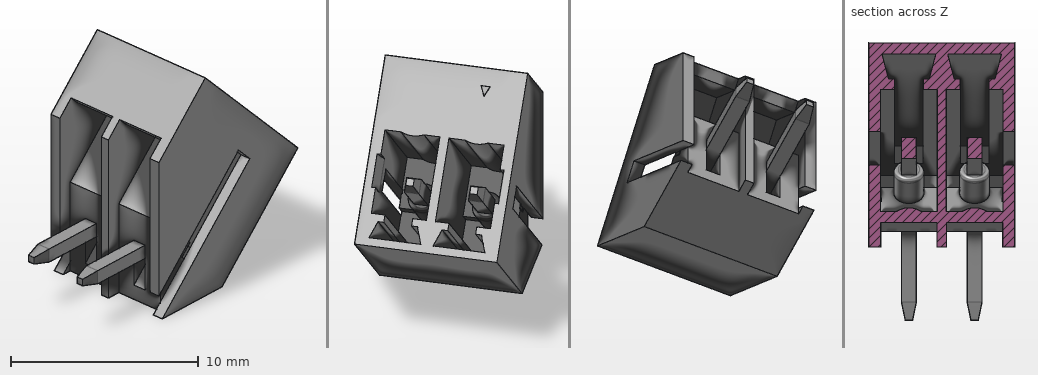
import cadquery as cq
import math


ROOT2 = math.sqrt(2)

width = 7.8
height = 13.34
rear_y = 11.0
ridge_y = rear_y / 3
face_sum = ridge_y + height
rear_z = face_sum - rear_y
bottom_rear_y = rear_y - rear_z
front_top_z = height - ridge_y

pitch = 3.5
pole_xs = (-pitch / 2, pitch / 2)
pocket_width = 3.0
side_wall = (width - pitch - pocket_width) / 2

wire = 0.8
tip_size = wire / 2
tip_length = 0.97
tip_taper = math.degrees(math.atan((wire - tip_size) / 2 / tip_length))
pin_z = 3.22
pin_reach = 3.9
axis_offset = 0.63
contact_tip_depth = 1.53

pin_bottom = pin_z - wire / 2
pin_top = pin_z + wire / 2
axis_rise = wire / ROOT2
outer_bend = (pin_bottom - axis_offset + axis_rise, pin_bottom)
inner_bend = (pin_top - axis_offset - axis_rise, pin_top)

cavity_width = 3.01
cavity_upper = -2.37
cavity_lower = 2.2
cavity_depth = 7.5
lower_cavity_depth = 8.4
neck_width = 1.52
key_start = 2.61
key_end = 3.53
key_inner_width = 2.15
key_outer_width = 2.83
rib_chord = 1.27
rib_height = 0.13
collar_radius = 0.8
collar_top_depth = 5.74
collar_round = 0.24

lead_upper = -1.03
lead_lower = 0.8
lead_depth = 1.24
lead_width = 0.21

slot_width = 1.25
slot_start_depth = 2.04
relief_depth = 0.05

pocket_depth = 0.82
pocket_floor = -2.82
lip_depth = 3.93

mark_tip = -4.85
mark_base = -5.41
mark_width = 0.49
mark_depth = 0.05

overrun = 0.15


def yz(across, depth):
    """Y and Z of a point given across the mating face and as a depth below it."""
    total = face_sum - depth * ROOT2
    difference = axis_offset - across * ROOT2
    return (total - difference) / 2, (total + difference) / 2


def tilted(x, depth):
    """Workplane parallel to the mating face, centred on the contact axis of a pole."""
    y, z = yz(0, depth)
    return cq.Workplane(cq.Plane(origin=(x, y, z), xDir=(1, 0, 0), normal=(0, 1, 1)))


def profile(points, x, thickness):
    """Plate with a YZ outline, centred on x."""
    return cq.Workplane("YZ", origin=(x, 0, 0)).polyline(points).close().extrude(thickness / 2, both=True)


def block(x, across_from, across_to, depth_from, depth_to, size_x):
    """Block aligned with the mating face."""
    corners = [yz(across_from, depth_from), yz(across_to, depth_from),
               yz(across_to, depth_to), yz(across_from, depth_to)]
    return profile(corners, x, size_x)


def housing():
    outline = [(0, 0), (bottom_rear_y, 0), (rear_y, rear_z), (ridge_y, height), (0, front_top_z)]
    return profile(outline, 0, width)


def core_pocket(x):
    """Pocket open to the front that runs up behind the thin skin of the front slope."""
    front_slope = (axis_offset - front_top_z) / ROOT2
    skin = front_slope + side_wall
    slope_start_z = pocket_depth + axis_offset - pocket_floor * ROOT2
    lip_outer = yz(front_slope - overrun, lip_depth)
    outline = [(-overrun, -overrun), (pocket_depth, -overrun), (pocket_depth, slope_start_z),
               yz(pocket_floor, side_wall), yz(skin, side_wall), yz(skin, lip_depth),
               lip_outer, (-overrun, lip_outer[1])]
    return profile(outline, x, pocket_width)


def plug_cavity(x):
    half = cavity_width / 2
    main = (
        tilted(x, cavity_depth)
        .moveTo(-half, cavity_lower)
        .lineTo(-half, cavity_upper)
        .lineTo(-rib_chord / 2, cavity_upper)
        .threePointArc((0, cavity_upper + rib_height), (rib_chord / 2, cavity_upper))
        .lineTo(half, cavity_upper)
        .lineTo(half, cavity_lower)
        .lineTo(neck_width / 2, cavity_lower)
        .lineTo(neck_width / 2, key_start)
        .lineTo(key_inner_width / 2, key_start)
        .lineTo(key_outer_width / 2, key_end)
        .lineTo(-key_outer_width / 2, key_end)
        .lineTo(-key_inner_width / 2, key_start)
        .lineTo(-neck_width / 2, key_start)
        .lineTo(-neck_width / 2, cavity_lower)
        .close()
        .extrude(cavity_depth + overrun)
    )
    lower = block(x, wire / 2, cavity_lower, 0, lower_cavity_depth, cavity_width)
    return main.union(lower)


def collar(x):
    """Round collar that carries the contact leg, rounded at its upper end."""
    length = lower_cavity_depth - collar_top_depth
    post = tilted(x, lower_cavity_depth).circle(collar_radius).extrude(length)
    return post.faces(">(0,1,1)").edges().fillet(collar_round)


def lead_in(side):
    """Wedge that widens the outer wall of a cavity towards the mating face."""
    inner_x = pitch / 2 + cavity_width / 2
    outer_x = inner_x + lead_width
    y, z = yz(lead_upper, 0)
    end_plane = cq.Plane(origin=(0, y, z), xDir=(1, 0, 0), normal=(0, 1, -1))
    points = [(side * inner_x, 0), (side * outer_x, 0), (side * inner_x, lead_depth)]
    return cq.Workplane(end_plane).polyline(points).close().extrude(lead_lower - lead_upper)


def side_slot(side):
    """Slot along the outer side wall, with a relief groove on each side of a plain tab."""
    outer_x = side * width / 2
    end_depth = face_sum / ROOT2 + overrun
    slot = block(outer_x, -slot_width / 2, slot_width / 2, slot_start_depth, end_depth, 2 * side_wall)
    for edge, inner in ((-slot_width / 2, -wire / 2), (slot_width / 2, wire / 2)):
        groove = block(outer_x, edge, inner, cavity_depth, lower_cavity_depth, 2 * (side_wall + relief_depth))
        slot = slot.union(groove)
    return slot


def contact_passage(x):
    """Opening below the pin with a floor that slopes up along the contact leg."""
    floor_z = pocket_depth + axis_offset - axis_rise
    outline = [(pocket_depth, floor_z), outer_bend, inner_bend, (pocket_depth, pin_top)]
    return profile(outline, x, wire)


def contact(x):
    shoulder_depth = contact_tip_depth + tip_length
    pin_shoulder = tip_length - pin_reach
    outline = [(pin_shoulder, pin_bottom), outer_bend, yz(wire / 2, shoulder_depth),
               yz(-wire / 2, shoulder_depth), inner_bend, (pin_shoulder, pin_top)]
    pin_end = cq.Workplane("XZ", origin=(x, pin_shoulder, pin_z))
    pin_tip = pin_end.rect(wire, wire).extrude(tip_length, taper=tip_taper)
    leg_tip = tilted(x, shoulder_depth).rect(wire, wire).extrude(tip_length, taper=tip_taper)
    return profile(outline, x, wire).union(pin_tip).union(leg_tip)


def pole_one_mark():
    points = [(0, mark_tip), (mark_width / 2, mark_base), (-mark_width / 2, mark_base)]
    return tilted(pole_xs[0], mark_depth).polyline(points).close().extrude(mark_depth + overrun)


result = housing()
for pole_x in pole_xs:
    result = result.cut(core_pocket(pole_x)).cut(plug_cavity(pole_x))
for side in (-1, 1):
    result = result.cut(lead_in(side)).cut(side_slot(side))
for pole_x in pole_xs:
    result = result.union(collar(pole_x)).cut(contact_passage(pole_x)).union(contact(pole_x))
result = result.cut(pole_one_mark())